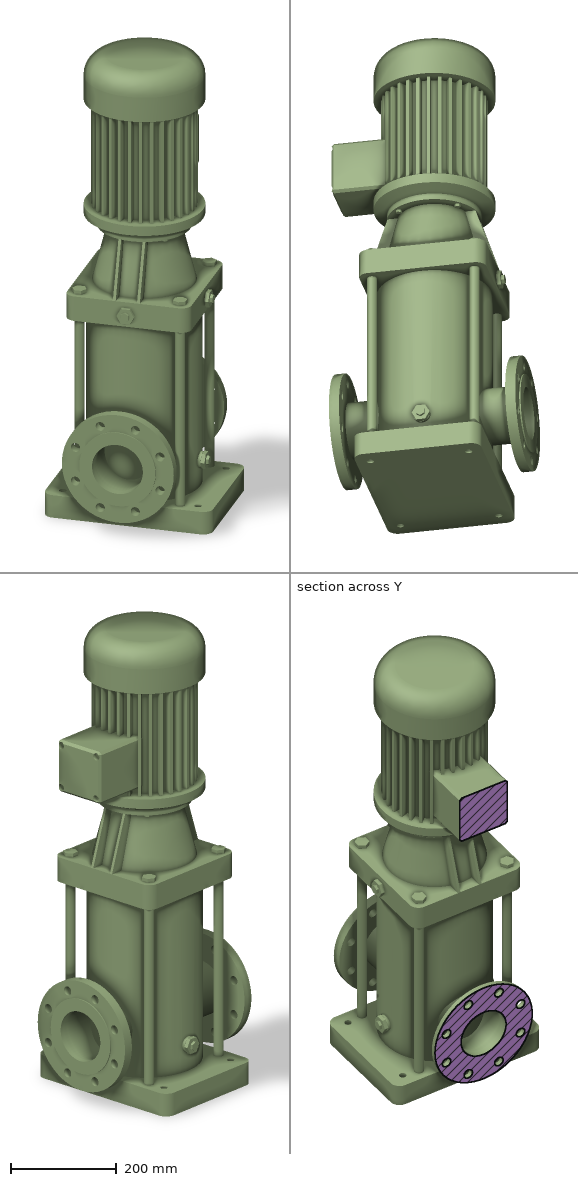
import cadquery as cq
import math

base_length = 330.0
plate_side = 245.0
base_height = 46.0
corner_radius = 20.0
foot_hole_diameter = 14.0
foot_hole_spacing_x = 266.0
foot_hole_spacing_y = 190.0

sleeve_diameter = 220.0
plate_bottom = 408.0
plate_top = 458.0
tie_rod_diameter = 19.0
tie_rod_offset = 99.0
tie_bolt_flats = 24.5
tie_bolt_height = 8.0
positive_side_head_turn = 90.0

port_height = 140.0
port_reach = 182.5
bore_diameter = 100.0
pipe_diameter = 108.0
flange_diameter = 220.0
flange_thickness = 19.5
raised_face_diameter = 150.0
raised_face_height = 2.5
bolt_circle_diameter = 180.0
flange_bolt_count = 8
flange_bolt_diameter = 18.0

plug_flats = 30.0
plug_head_height = 8.0
plug_tip_flats = 16.0
plug_tip_height = 5.5
plug_tip_turn = 30.0
plug_washer_diameter = 32.0
plate_plug_height = 431.5
drain_plug_height = 100.0
drain_washer_face = 115.0

lantern_top = 570.0
lantern_base_radius = 99.0
lantern_top_radius = 70.5
rib_thickness = 5.5
rib_offset = 23.7
rib_base_reach = plate_side / 2
rib_top_reach = 85.0
lantern_bolt_circle_radius = 80.0
lantern_bolt_count = 4
lantern_bolt_flats = 10.0
lantern_bolt_height = 5.0
lantern_bolt_turn = 45.0

motor_diameter = 230.0
collar_diameter = 180.0
collar_top = 582.0
motor_flange_bottom = 593.0
motor_flange_top = 612.0
fin_top = 826.0
motor_top = 916.0
dome_radius = 40.0
motor_core_radius = 85.0
fin_root_radius = motor_core_radius - 5.0
fin_tip_radius = 100.5
fin_thickness = 6.0
fin_count = 30
fin_start_angle = 90.0

box_width = 108.0
box_bottom = 625.0
box_top = 730.0
box_end = 188.0
box_edge = 5.0
box_screw_diameter = 14.0
box_screw_depth = 8.0
box_screw_inset = 10.0


def cylinder(diameter, bottom, top):
    return cq.Workplane("XY", origin=(0, 0, bottom)).circle(diameter / 2).extrude(top - bottom)


def hexagon_prism(plane, flats, height, turn=0):
    """Hexagonal prism; `turn` is the angle in degrees from the plane's x axis to a corner."""
    corner_diameter = flats / math.cos(math.pi / 6)
    return cq.Workplane(plane).transformed(rotate=(0, 0, turn)).polygon(6, corner_diameter).extrude(height)


def rounded_plate(length, width, bottom, top):
    plate = cq.Workplane("XY", origin=(0, 0, bottom)).rect(length, width).extrude(top - bottom)
    return plate.edges("|Z").fillet(corner_radius)


def make_base():
    base = rounded_plate(base_length, plate_side, 0, base_height)
    return (
        base.faces(">Z")
        .workplane()
        .rect(foot_hole_spacing_x, foot_hole_spacing_y, forConstruction=True)
        .vertices()
        .hole(foot_hole_diameter)
    )


def make_sleeve_and_plate():
    sleeve = cylinder(sleeve_diameter, base_height, plate_bottom)
    stack = sleeve.union(rounded_plate(plate_side, plate_side, plate_bottom, plate_top))
    for side_x in (-1, 1):
        for side_y in (-1, 1):
            x = side_x * tie_rod_offset
            y = side_y * tie_rod_offset
            rod = cylinder(tie_rod_diameter, base_height, plate_bottom).translate((x, y, 0))
            head_plane = cq.Plane(origin=(x, y, plate_top))
            head_turn = positive_side_head_turn if side_x > 0 else 0
            head = hexagon_prism(head_plane, tie_bolt_flats, tie_bolt_height, head_turn)
            stack = stack.union(rod).union(head)
    return stack


def port_plane(side, distance):
    """Plane on a port axis whose normal points away from the pump."""
    return cq.Plane(origin=(0, side * distance, port_height), xDir=(1, 0, 0), normal=(0, side, 0))


def make_port(side):
    flange_face = port_reach - raised_face_height
    flange_back = flange_face - flange_thickness
    pipe = cq.Workplane(port_plane(side, 0)).circle(pipe_diameter / 2).extrude(flange_back)
    flange = cq.Workplane(port_plane(side, flange_back)).circle(flange_diameter / 2).extrude(flange_thickness)
    bolt_holes = (
        cq.Workplane(port_plane(side, flange_back))
        .polarArray(bolt_circle_diameter / 2, 180 / flange_bolt_count, 360, flange_bolt_count)
        .circle(flange_bolt_diameter / 2)
        .extrude(flange_thickness)
    )
    raised_face = (
        cq.Workplane(port_plane(side, flange_face))
        .circle(raised_face_diameter / 2)
        .extrude(raised_face_height)
    )
    bore = cq.Workplane(port_plane(side, 0)).circle(bore_diameter / 2).extrude(port_reach)
    return pipe.union(flange.cut(bolt_holes)).union(raised_face).cut(bore)


def make_plug(direction, seat, height):
    """Hexagonal plug with a small hexagonal tip; `direction` is the outward unit vector."""
    def plane_at(distance):
        origin = (direction[0] * distance, direction[1] * distance, height)
        across = (-direction[1], direction[0], 0)
        return cq.Plane(origin=origin, xDir=across, normal=direction)

    head = hexagon_prism(plane_at(seat), plug_flats, plug_head_height)
    tip = hexagon_prism(plane_at(seat + plug_head_height), plug_tip_flats, plug_tip_height, plug_tip_turn)
    return head.union(tip)


def make_drain_plug(side):
    washer = (
        cq.Workplane("YZ", origin=(0, 0, drain_plug_height))
        .circle(plug_washer_diameter / 2)
        .extrude(side * drain_washer_face)
    )
    return washer.union(make_plug((side, 0, 0), drain_washer_face, drain_plug_height))


def make_lantern():
    cone_outline = [
        (0, plate_top),
        (lantern_base_radius, plate_top),
        (lantern_top_radius, lantern_top),
        (0, lantern_top),
    ]
    lantern = cq.Workplane("XZ").polyline(cone_outline).close().revolve(360, (0, 0, 0), (0, 1, 0))
    rib_outline = [
        (-rib_base_reach, plate_top),
        (rib_base_reach, plate_top),
        (rib_top_reach, lantern_top),
        (-rib_top_reach, lantern_top),
    ]
    for rib_x in (-rib_offset, rib_offset):
        rib = cq.Workplane("YZ", origin=(rib_x, 0, 0)).polyline(rib_outline).close()
        lantern = lantern.union(rib.extrude(rib_thickness / 2, both=True))
    for index in range(lantern_bolt_count):
        angle = math.radians((index + 0.5) * 360 / lantern_bolt_count)
        x = lantern_bolt_circle_radius * math.cos(angle)
        y = lantern_bolt_circle_radius * math.sin(angle)
        bolt_plane = cq.Plane(origin=(x, y, lantern_top - lantern_bolt_height))
        bolt_head = hexagon_prism(bolt_plane, lantern_bolt_flats, lantern_bolt_height, lantern_bolt_turn)
        lantern = lantern.union(bolt_head)
    return lantern


def make_motor():
    motor_radius = motor_diameter / 2
    lower_outline = [
        (0, lantern_top),
        (collar_diameter / 2, lantern_top),
        (collar_diameter / 2, collar_top),
        (motor_radius, motor_flange_bottom),
        (motor_radius, motor_flange_top),
        (0, motor_flange_top),
    ]
    motor = cq.Workplane("XZ").polyline(lower_outline).close().revolve(360, (0, 0, 0), (0, 1, 0))
    fan_cover = cylinder(motor_diameter, fin_top, motor_top).faces(">Z").edges().fillet(dome_radius)
    motor = motor.union(cylinder(2 * motor_core_radius, motor_flange_top, fin_top)).union(fan_cover)
    fin_length = fin_tip_radius - fin_root_radius
    fins = (
        cq.Workplane("XY", origin=(0, 0, motor_flange_top))
        .polarArray(fin_root_radius + fin_length / 2, fin_start_angle, 360, fin_count)
        .rect(fin_length, fin_thickness)
        .extrude(fin_top - motor_flange_top)
    )
    motor = motor.union(fins)
    return motor


def make_terminal_box():
    box_height = box_top - box_bottom
    end_plane = cq.Workplane("XZ", origin=(0, box_end, box_bottom + box_height / 2))
    box = end_plane.rect(box_width, box_height).extrude(box_end)
    box = box.edges("|Y or >Y").chamfer(box_edge)
    screw_spacing_x = box_width - 2 * box_screw_inset
    screw_spacing_z = box_height - 2 * box_screw_inset
    screw_pockets = (
        end_plane.rect(screw_spacing_x, screw_spacing_z, forConstruction=True)
        .vertices()
        .circle(box_screw_diameter / 2)
        .extrude(box_screw_depth)
    )
    return box.cut(screw_pockets)


result = make_base().union(make_sleeve_and_plate())
for port_side in (-1, 1):
    result = result.union(make_port(port_side))
for drain_side in (-1, 1):
    result = result.union(make_drain_plug(drain_side))
for plug_direction in ((1, 0, 0), (0, -1, 0)):
    result = result.union(make_plug(plug_direction, plate_side / 2, plate_plug_height))
result = result.union(make_lantern()).union(make_motor()).union(make_terminal_box())